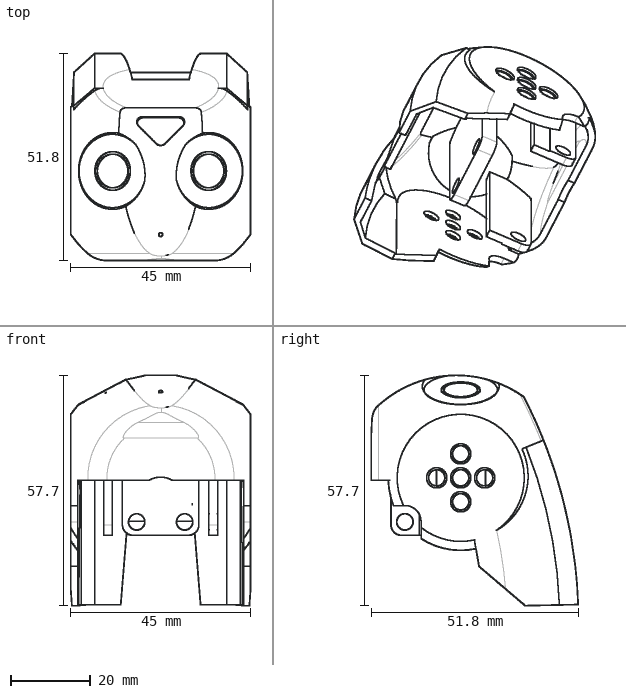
import cadquery as cq
import math


WALL = 1.8
DOME_RADIUS = 27.55
WIDTH = 45.0
HALF_WIDTH = WIDTH / 2
FRONT_Y = -22.4
FRONT_BLEND = 7.2
BACK_BLEND = 3.45
HEIGHT = 57.65
TOP_Z = 25.65
FOOT_Z = TOP_Z - HEIGHT
RIM_Z = -0.65
REACH = 86.45

BACK_EDGE_ZONE = ((-REACH, 14.4, -14.4), (REACH, 34.6, 17.3))

FACE_BEND = (FRONT_Y, 9.95)
FACE_TOP = (-22.25, 13.9)
BROW_MIDDLE = (-22.0, 15.75)
BROW = (-21.4, 17.35)
CROWN = (-1.1, TOP_Z)
NAPE = (15.8, 20.2)
BACK_MIDDLE = (24.85, -2.7)
BACK_END = (29.4, -31.7)

REAR_FLAT = 16.5
BEVEL_X = 21.65
BEVEL_DEPTH = 4.7
TAPER_DEPTH = 18.0
LEG_SWEEP_DEPTH = 40.35
LEG_OUTLINE = [
    (40.35, 17.3),
    (15.8, 7.45),
    (8.65, 2.9),
    (3.45, -15.8),
    (4.55, -22.15),
    (16.15, FOOT_Z),
    (40.35, -31.45),
]

GAP_TOP_Z = 3.3
GAP_TOP_HALF = 7.1
GAP_FOOT_HALF = 9.95
PANEL_TOP_Y = 22.8
PANEL_FOOT = (24.65, -10.9)
PANEL_HALF = 8.95

EYE_TILT = 24.0
EYE_X = 12.05
EYE_Z = 22.0
EYE_RADIUS = 9.15
EYE_DRAFT = 30.0
EYE_POCKET_HEIGHT = 3.45
EYE_BACKING_RADIUS = 10.95
PUPIL_RADIUS = 4.2
PUPIL_GROOVE_WIDTH = 0.65
PUPIL_GROOVE_DEPTH = 0.35

BADGE_HALF = 7.6
BADGE_LENGTH = 8.2
BADGE_ROUND = 1.4
BADGE_BACK_Y = 13.6
BADGE_BACK_Z = 21.95
BADGE_TILT = 22.5
BADGE_DEPTH = 0.85
BADGE_DRAFT = 12.0
PINHOLE_Y = -15.9
PINHOLE_DIAMETER = 0.9

HOLE_DIAMETER = 4.05
SEAT_DIAMETER = 5.1
SEAT_DEPTH = 0.7
HOLE_SPACING = 6.0

BRACKET_HALF = 9.55
BRACKET_THICKNESS = 4.05
BRACKET_Y = 2.2
BRACKET_FOOT_Z = -14.4
BRACKET_ROUND = 2.7
BRACKET_HOLE_Z = -11.0

LUG_INNER_X = 12.05
LUG_THICKNESS = 2.2
LUG_BACK_Y = -10.3
LUG_WEB_THICKNESS = 1.95
LUG_WEB_BACK_Y = -6.0
LUG_FRONT_Y = -17.45
LUG_HOLE = (-13.95, BRACKET_HOLE_Z)
NOTCH_Y = -9.9
NOTCH_Z = -6.9
NOTCH_ROUND = 4.05
RIM_ARCH_RADIUS = 5.7
RIM_ARCH_RISE = 0.8


def arc_circle(a, b, c):
    """Centre and radius of the circle through three (y, z) points."""
    d = 2 * (a[0] * (b[1] - c[1]) + b[0] * (c[1] - a[1]) + c[0] * (a[1] - b[1]))
    sa, sb, sc = (p[0] ** 2 + p[1] ** 2 for p in (a, b, c))
    y = (sa * (b[1] - c[1]) + sb * (c[1] - a[1]) + sc * (a[1] - b[1])) / d
    z = (sa * (c[0] - b[0]) + sb * (a[0] - c[0]) + sc * (b[0] - a[0])) / d
    return y, z, math.hypot(a[0] - y, a[1] - z)


BACK_CENTRE_Y, BACK_CENTRE_Z, BACK_RADIUS = arc_circle(NAPE, BACK_MIDDLE, BACK_END)


def box(x, y, z):
    """Box between the given pairs of limits."""
    size = [pair[1] - pair[0] for pair in (x, y, z)]
    return cq.Workplane("XY").box(*size, centered=False).translate((x[0], y[0], z[0]))


def across(outline, half):
    """Prism of a closed (y, z) outline, centred on X = 0."""
    return outline.extrude(half, both=True)


def head_profile(inset):
    """Side outline of the head, moved inward by inset."""
    outline = (
        cq.Workplane("YZ")
        .moveTo(FRONT_Y, BACK_END[1])
        .lineTo(*FACE_BEND)
        .lineTo(*FACE_TOP)
        .threePointArc(BROW_MIDDLE, BROW)
        .threePointArc(CROWN, NAPE)
        .threePointArc(BACK_MIDDLE, BACK_END)
        .close()
    )
    if inset:
        outline = outline.offset2D(-inset)
    return across(outline, HALF_WIDTH - inset)


def dome(inset):
    """Sphere cut flat at the face with a soft rim, then trimmed by the side outline."""
    radius = DOME_RADIUS - inset
    face_y = FRONT_Y + inset
    ball = cq.Workplane("XY").sphere(radius)
    ball = ball.cut(box((-radius, radius), (-2 * radius, face_y), (-radius, radius)))
    ball = ball.faces("<Y").edges().fillet(FRONT_BLEND - inset)
    head = ball.intersect(head_profile(inset))
    return head.edges(cq.selectors.BoxSelector(*BACK_EDGE_ZONE)).fillet(BACK_BLEND - inset)


def back_sweep(inset):
    """Bevelled cross-section of the legs, swept around the axis of the back arc."""
    rear = BACK_RADIUS - inset
    half = [
        (REAR_FLAT, rear),
        (BEVEL_X - inset, BACK_RADIUS - BEVEL_DEPTH),
        (HALF_WIDTH - inset, BACK_RADIUS - TAPER_DEPTH),
        (HALF_WIDTH - inset, BACK_RADIUS - LEG_SWEEP_DEPTH),
    ]
    mirrored = [(-x, r) for x, r in reversed(half)]
    ring = cq.Workplane("XY").polyline(half + mirrored).close().revolve(360, (0, 0, 0), (1, 0, 0))
    return ring.translate((0, BACK_CENTRE_Y, BACK_CENTRE_Z))


def outer_body():
    """Dome joined to the two legs, still solid."""
    leg_block = across(cq.Workplane("YZ").polyline(LEG_OUTLINE).close(), HALF_WIDTH)
    return dome(0).union(back_sweep(0).intersect(leg_block))


def cavity():
    """Space inside the dome and the open space below its rim."""
    inner_half = HALF_WIDTH - WALL
    below = (-REACH, RIM_Z)
    open_front = box((-inner_half, inner_half), (-REACH, NAPE[0]), below)
    open_back = back_sweep(WALL).intersect(box((-REACH, REACH), (0, REACH), below))
    return dome(WALL).union(open_front).union(open_back)


def leg_gap():
    """Tapered opening through the back wall between the legs."""
    return (
        cq.Workplane("XZ", origin=(0, PANEL_TOP_Y - 2 * WALL, 0))
        .polyline([
            (-GAP_TOP_HALF, GAP_TOP_Z), (GAP_TOP_HALF, GAP_TOP_Z),
            (GAP_FOOT_HALF, FOOT_Z), (-GAP_FOOT_HALF, FOOT_Z),
        ])
        .close()
        .extrude(-REACH)
    )


def back_panel():
    """Sloping panel across the upper part of the leg gap."""
    outline = cq.Workplane("YZ").polyline([
        (PANEL_TOP_Y - WALL, GAP_TOP_Z), (PANEL_TOP_Y, GAP_TOP_Z),
        PANEL_FOOT, (PANEL_FOOT[0] - WALL, PANEL_FOOT[1]),
    ])
    return across(outline.close(), PANEL_HALF)


def tilt_to_eye(solid, side):
    """Place a solid built on the XY plane onto the floor of one eye."""
    return solid.rotate((0, 0, 0), (0, 1, 0), side * EYE_TILT).translate((side * EYE_X, 0, EYE_Z))


def eye_backing(side):
    """Disc that thickens the dome behind one eye."""
    backing = cq.Workplane("XY", origin=(0, 0, -WALL)).circle(EYE_BACKING_RADIUS).extrude(WALL)
    return tilt_to_eye(backing, side)


def eye_pocket(side):
    """Flat-floored drafted pocket with a ring groove around the pupil, tilted outward."""
    pocket = cq.Workplane("XY").circle(EYE_RADIUS).extrude(EYE_POCKET_HEIGHT, taper=-EYE_DRAFT)
    groove = (
        cq.Workplane("XY")
        .circle(PUPIL_RADIUS + PUPIL_GROOVE_WIDTH)
        .circle(PUPIL_RADIUS)
        .extrude(-PUPIL_GROOVE_DEPTH)
    )
    return tilt_to_eye(pocket.union(groove), side)


def badge_recess():
    """Rounded triangle with drafted walls, sunk square to the slope of the crown."""
    outline = [(-BADGE_HALF, 0), (BADGE_HALF, 0), (0, -BADGE_LENGTH)]
    flat = cq.Sketch().polygon(outline + outline[:1]).vertices().fillet(BADGE_ROUND)
    recess = cq.Workplane("XY", origin=(0, 0, -BADGE_DEPTH)).placeSketch(flat)
    recess = recess.extrude(3 * BADGE_DEPTH, taper=-BADGE_DRAFT)
    return recess.rotate((0, 0, 0), (1, 0, 0), -BADGE_TILT).translate((0, BADGE_BACK_Y, BADGE_BACK_Z))


def side_holes():
    """Five stepped screw holes through each side plate."""
    spots = [(0, 0), (HOLE_SPACING, 0), (-HOLE_SPACING, 0), (0, HOLE_SPACING), (0, -HOLE_SPACING)]
    cutter = None
    for side in (-1, 1):
        plate = cq.Workplane("YZ", origin=(side * HALF_WIDTH, 0, 0)).pushPoints(spots)
        seats = plate.circle(SEAT_DIAMETER / 2).extrude(-side * SEAT_DEPTH)
        bores = plate.circle(HOLE_DIAMETER / 2).extrude(-side * 2 * WALL)
        pair = seats.union(bores)
        cutter = pair if cutter is None else cutter.union(pair)
    return cutter


def bracket():
    """Upright inner plate with rounded lower corners, reaching up into the dome."""
    depth = (BRACKET_Y, BRACKET_Y + BRACKET_THICKNESS)
    plate = box((-BRACKET_HALF, BRACKET_HALF), depth, (BRACKET_FOOT_Z, TOP_Z))
    plate = plate.edges("|Y and <Z").fillet(BRACKET_ROUND)
    holes = (
        cq.Workplane("XZ", origin=(0, BRACKET_Y, 0))
        .pushPoints([(-HOLE_SPACING, BRACKET_HOLE_Z), (HOLE_SPACING, BRACKET_HOLE_Z)])
        .circle(HOLE_DIAMETER / 2)
        .extrude(-BRACKET_THICKNESS)
    )
    return plate.cut(holes)


def lug(side):
    """Front lug with one hole, reaching up into the dome, and the thinner web behind it."""
    heights = (BRACKET_FOOT_Z, TOP_Z)
    plate_limits = sorted([side * LUG_INNER_X, side * (LUG_INNER_X + LUG_THICKNESS)])
    plate = box(plate_limits, (LUG_FRONT_Y, LUG_BACK_Y), heights)
    plate = plate.edges("|X and <Y and <Z").fillet(BRACKET_ROUND)
    web_limits = sorted([side * LUG_INNER_X, side * (LUG_INNER_X + LUG_WEB_THICKNESS)])
    web = box(web_limits, (LUG_BACK_Y, LUG_WEB_BACK_Y), heights)
    hole = cq.Workplane("YZ").center(*LUG_HOLE).circle(HOLE_DIAMETER / 2)
    return plate.cut(across(hole, HALF_WIDTH)).union(web)


def lug_clearance():
    """Rounded notch in the lower front corner of both side plates."""
    block = box((-HALF_WIDTH, HALF_WIDTH), (-REACH, NOTCH_Y), (-REACH, NOTCH_Z))
    return block.edges("|X and >Y and >Z").fillet(NOTCH_ROUND)


def rim_arch():
    """Shallow arch in the lower rim of the face."""
    centre_z = RIM_Z + RIM_ARCH_RISE - RIM_ARCH_RADIUS
    arch = cq.Workplane("XZ", origin=(0, LUG_BACK_Y, 0)).center(0, centre_z)
    return arch.circle(RIM_ARCH_RADIUS).extrude(REACH)


shell = outer_body().cut(cavity()).cut(leg_gap()).cut(lug_clearance()).cut(rim_arch()).cut(side_holes())
shell = shell.union(back_panel())

headroom = dome(WALL / 2).union(box((-REACH, REACH), (-REACH, REACH), (-REACH, RIM_Z)))
for part in (bracket(), lug(-1), lug(1), eye_backing(-1), eye_backing(1)):
    shell = shell.union(part.intersect(headroom))

for side in (-1, 1):
    shell = shell.cut(eye_pocket(side))
pinhole = cq.Workplane("XY").center(0, PINHOLE_Y).circle(PINHOLE_DIAMETER / 2).extrude(TOP_Z)
result = shell.cut(badge_recess()).cut(pinhole)